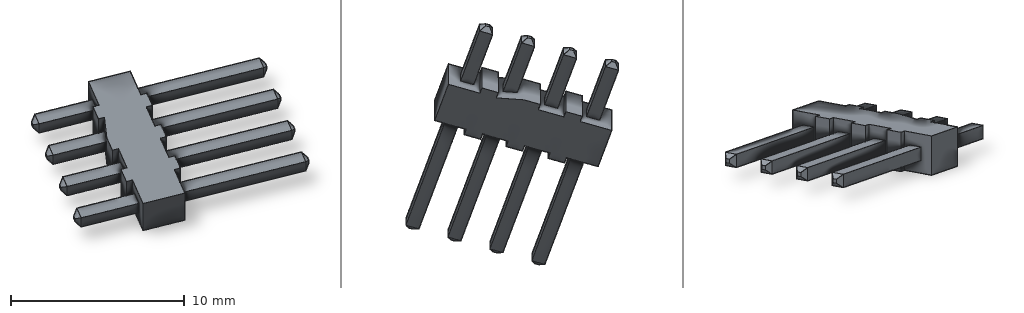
import cadquery as cq

pin_count = 4
pitch = 2.55
body_width = 9.91
body_depth = 2.55
body_height = 2.35
tab_width = 1.0
tab_projection = 0.37
pin_size = 0.8
pin_tip_size = 0.24
pin_tip_length = 0.28
pin_length = 14.22
front_pin_reach = 3.8
ramp_gap = 1

front_face = -body_depth / 2
pin_front = front_face - front_pin_reach
pin_back = pin_front + pin_length
pin_positions = [(i - (pin_count - 1) / 2) * pitch for i in range(pin_count)]
tab_positions = [x + pitch / 2 for x in pin_positions[:-1]]


def make_body():
    """Housing block with a spacer tab between each pair of pins, front and back."""
    body = cq.Workplane("XY").box(body_width, body_depth, body_height)
    tab_depth = body_depth + 2 * tab_projection
    for x in tab_positions:
        tab = cq.Workplane("XY").box(tab_width, tab_depth, body_height).translate((x, 0, 0))
        body = body.union(tab)
    return body


def make_ramp():
    """Polarising wedge on the front face, rising from one tab's root to the next tab's crest."""
    ramp_start = tab_positions[ramp_gap - 1] + tab_width / 2
    ramp_end = tab_positions[ramp_gap] - tab_width / 2
    return (
        cq.Workplane("XY")
        .moveTo(ramp_start, front_face)
        .lineTo(ramp_end, front_face - tab_projection)
        .lineTo(ramp_end, front_face)
        .close()
        .extrude(body_height / 2, both=True)
    )


def make_tip(x, base_y, direction):
    """Blunt pyramid at a pin end, pointing along Y in the given direction (+1 or -1)."""
    base_plane = cq.Plane(origin=(x, base_y, 0), xDir=(1, 0, 0), normal=(0, direction, 0))
    return (
        cq.Workplane(base_plane)
        .rect(pin_size, pin_size)
        .workplane(offset=pin_tip_length)
        .rect(pin_tip_size, pin_tip_size)
        .loft(ruled=True)
    )


def make_pin(x):
    """Square pin passing through the body, tapered at both ends."""
    shank_length = pin_length - 2 * pin_tip_length
    shank_center = (pin_front + pin_back) / 2
    shank = cq.Workplane("XY").box(pin_size, shank_length, pin_size).translate((x, shank_center, 0))
    front_tip = make_tip(x, pin_front + pin_tip_length, -1)
    back_tip = make_tip(x, pin_back - pin_tip_length, 1)
    return shank.union(front_tip).union(back_tip)


result = make_body().union(make_ramp())
for pin_x in pin_positions:
    result = result.union(make_pin(pin_x))